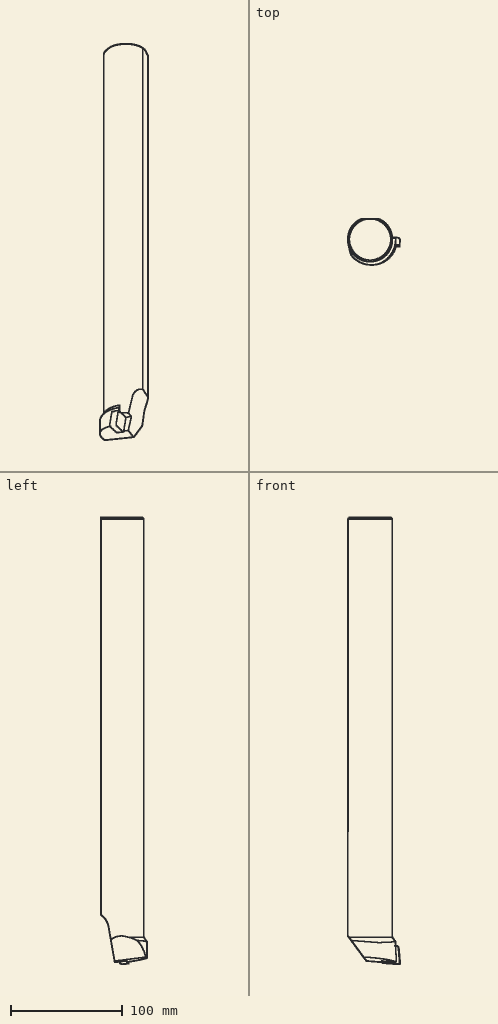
import cadquery as cq
import math

overall_length = 400.01
shank_radius = 20.0
flat_offset = 18.5
end_chamfer = 1.5

head_radius = 22.94
head_offset_x = 1.2
shoulder_top_z = 24.5
shoulder_steepness = 1.5
head_rake_y = 1.0

back_cut_top_z = 25.5
back_cut_foot_x = -4.0
back_cut_foot_z = 4.0

end_face_height = 1.2
end_slope_x = 0.085
end_slope_y = 0.12

side_round_radius = 23.6
side_round_lean = 5.0
side_round_pivot_z = -3.4

flute_top_z = 44.5
flute_arc_mid = (13.4, 38.6)
flute_floor_start = (11.5, 32.5)
flute_floor_end = (5.8, 0.0)

tip_x = 26.99
insert_circle_diameter = 15.875
insert_thickness = 6.35
insert_corner_angle = 80.0
nose_radius = 1.2
rake_angle = 6.0

cut_size = 100.0
pocket_cut_height = 20.0
pocket_opening = 1.4

rake_slope = math.tan(math.radians(rake_angle))
rake_normal = cq.Vector(rake_slope, 1, -rake_slope).normalized()
nose_reach = nose_radius * math.sqrt(1 - rake_normal.x ** 2)
nose_center = cq.Vector(tip_x - nose_reach, 0, nose_reach)
rake_x_direction = cq.Vector(1, 0, 0) - rake_normal * rake_normal.x
seat_plane = cq.Plane(
    origin=nose_center - rake_normal * insert_thickness, xDir=rake_x_direction, normal=rake_normal
)


def polar(length, angle):
    return length * math.cos(math.radians(angle)), length * math.sin(math.radians(angle))


def rhombus_corners(opening=1.0):
    """Rhombus with its nose towards local (+X, +Y); opening stretches it past the nose."""
    half_angle = insert_corner_angle / 2
    sine = math.sin(math.radians(half_angle))
    diagonal_angle = 45.0
    side = insert_circle_diameter / math.sin(math.radians(insert_corner_angle))
    sharp_nose = polar(nose_radius / sine, diagonal_angle)
    back_x, back_y = polar(insert_circle_diameter / sine, diagonal_angle)
    back = (sharp_nose[0] - back_x, sharp_nose[1] - back_y)
    first = polar(side * opening, diagonal_angle - half_angle)
    second = polar(side * opening, diagonal_angle + half_angle)
    return [
        back,
        (back[0] + first[0], back[1] + first[1]),
        (back[0] + first[0] + second[0], back[1] + first[1] + second[1]),
        (back[0] + second[0], back[1] + second[1]),
    ]


def half_space(point, normal):
    """Large block standing on the plane through point, on the side of normal."""
    plane = cq.Plane(origin=point, normal=normal)
    return cq.Workplane(plane).rect(cut_size, cut_size).extrude(cut_size)


def make_insert():
    blank = cq.Workplane(seat_plane).polyline(rhombus_corners()).close().extrude(insert_thickness)
    corner_edges = cq.selectors.ParallelDirSelector(rake_normal)
    return blank.edges(corner_edges).fillet(nose_radius)


def make_shank():
    shank = cq.Workplane("XY").circle(shank_radius).extrude(overall_length)
    shank = shank.faces(">Z").chamfer(end_chamfer)
    flat_cut = (
        cq.Workplane("XY")
        .box(2 * shank_radius, shank_radius, overall_length, centered=(True, False, False))
        .translate((0, flat_offset, 0))
    )
    return shank.cut(flat_cut)


def make_head():
    head = cq.Workplane("XY").center(head_offset_x, 0).circle(head_radius).extrude(shoulder_top_z)
    cone_base_radius = shank_radius + shoulder_top_z / shoulder_steepness
    shoulder_cone = cq.Workplane(
        cq.Solid.makeCone(cone_base_radius, shank_radius, shoulder_top_z)
    )
    lean = math.radians(side_round_lean)
    axis_foot = cq.Vector(head_offset_x, 0, side_round_pivot_z)
    axis_direction = cq.Vector(-math.sin(lean), 0, math.cos(lean))
    side_round = cq.Workplane(
        cq.Solid.makeCylinder(
            side_round_radius, 2 * cut_size, axis_foot - axis_direction * cut_size, axis_direction
        )
    )
    head = head.intersect(shoulder_cone).cut(half_space((0, head_rake_y, 0), (0, 1, 0)))
    return head.intersect(side_round)


def make_flute():
    return (
        cq.Workplane("YZ", origin=(-cut_size / 2, 0, 0))
        .moveTo(flat_offset, flute_top_z)
        .threePointArc(flute_arc_mid, flute_floor_start)
        .lineTo(*flute_floor_end)
        .lineTo(shank_radius, flute_floor_end[1])
        .lineTo(shank_radius, flute_top_z)
        .close()
        .extrude(cut_size)
    )


def make_bar():
    back_run = back_cut_foot_x + shank_radius
    back_drop = back_cut_top_z - back_cut_foot_z
    back_cut = half_space((-shank_radius, 0, back_cut_top_z), (-back_drop, 0, -back_run))
    end_cut = half_space((tip_x, 0, end_face_height), (-end_slope_x, -end_slope_y, -1))
    pocket_outline = rhombus_corners(pocket_opening)
    pocket = cq.Workplane(seat_plane).polyline(pocket_outline).close().extrude(pocket_cut_height)
    bar = make_shank().union(make_head())
    for cutter in (back_cut, end_cut, make_flute(), pocket):
        bar = bar.cut(cutter)
    return bar


bar = make_bar()
insert = make_insert()
result = cq.Compound.makeCompound([bar.val(), insert.val()])